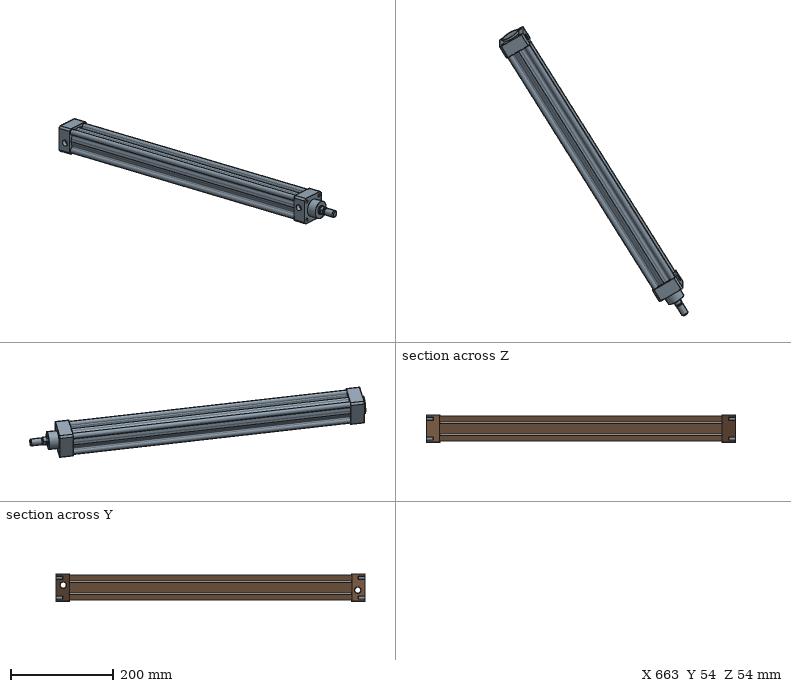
import cadquery as cq
import math


overall_length = 663.0
rear_spigot_length = 4.5
cap_length = 26.5
barrel_length = 551.0
front_spigot_length = 19.0
seal_lip_length = 2.5

cap_width = 54.0
cap_corner_chamfer = 4.0
spigot_diameter = 35.0
seal_lip_diameter = 18.0
tie_bolt_offset = 19.0
bolt_hole_diameter = 5.65
bolt_hole_depth = 13.0
port_diameter = 12.0
port_depth = 10.0
port_height = 5.0
port_end_distance = 12.0

body_radius = 22.0
lobe_radius = 5.65
lobe_root_fillet = 2.0
ridge_width = 10.0
ridge_height = 0.5

rod_diameter = 16.0
across_flats = 14.0
flats_length = 5.0
neck_diameter = 10.5
neck_length = 2.5
thread_diameter = 14.0
thread_length = 22.5
thread_chamfer = 2.0

rear_cap_start = rear_spigot_length
barrel_start = rear_cap_start + cap_length
front_cap_start = barrel_start + barrel_length
front_cap_end = front_cap_start + cap_length
front_spigot_end = front_cap_end + front_spigot_length
thread_start = overall_length - thread_length
neck_start = thread_start - neck_length
flats_start = neck_start - flats_length

tolerance = 0.005

corners = [(y * tie_bolt_offset, z * tie_bolt_offset) for y in (-1, 1) for z in (-1, 1)]


def section_at(x):
    """Workplane across the axis at X = x, with its local axes along Y and Z."""
    return cq.Workplane("YZ", origin=(x, 0, 0))


def round_bar(start, end, diameter):
    return section_at(start).circle(diameter / 2).extrude(end - start)


def cap_block(start):
    """Square cap block with chamfered long edges."""
    block = section_at(start).rect(cap_width, cap_width).extrude(cap_length)
    return block.edges("|X").chamfer(cap_corner_chamfer)


def bolt_holes(start):
    return section_at(start).pushPoints(corners).circle(bolt_hole_diameter / 2).extrude(bolt_hole_depth)


def port(x, z):
    """Blind air port entering from the -Y face."""
    face = cq.Workplane("XZ", origin=(x, -cap_width / 2, z))
    return face.circle(port_diameter / 2).extrude(-port_depth)


def make_rear_cap():
    """Cap block with a short spigot, blind bolt holes on its outer face and an air port."""
    cap = cap_block(rear_cap_start).union(round_bar(0, rear_cap_start, spigot_diameter))
    cap = cap.cut(bolt_holes(rear_cap_start))
    return cap.cut(port(barrel_start - port_end_distance, -port_height))


def make_front_cap():
    """Cap block with a long spigot and a seal lip, bored right through for the rod."""
    cap = cap_block(front_cap_start)
    cap = cap.union(round_bar(front_cap_end, front_spigot_end, spigot_diameter))
    lip_end = front_spigot_end + seal_lip_length
    cap = cap.union(round_bar(front_spigot_end, lip_end, seal_lip_diameter))
    cap = cap.cut(bolt_holes(front_cap_end - bolt_hole_depth))
    cap = cap.cut(port(front_cap_start + port_end_distance, port_height))
    return cap.cut(round_bar(front_cap_start, lip_end, rod_diameter))


def is_lobe_root(edge):
    """True for the lengthwise edges where a lobe meets the round body."""
    center = edge.Center()
    on_body = abs(math.hypot(center.y, center.z) - body_radius) < tolerance
    off_axes = min(abs(center.y), abs(center.z)) > tolerance
    return on_body and off_axes


def make_lobed_body():
    """Round body with a lobe around each tie bolt, blended in by concave fillets."""
    body = round_bar(barrel_start, front_cap_start, 2 * body_radius)
    lobes = section_at(barrel_start).pushPoints(corners).circle(lobe_radius).extrude(barrel_length)
    return body.union(lobes).edges("|X").filter(is_lobe_root).fillet(lobe_root_fillet)


def make_ridge():
    """Wedge from the axis to a shallow V-shaped crest just above the +Z side of the body."""
    foot_height = math.sqrt(body_radius**2 - (ridge_width / 2) ** 2)
    outline = [
        (0, 0),
        (ridge_width / 2, foot_height),
        (0, body_radius + ridge_height),
        (-ridge_width / 2, foot_height),
    ]
    return section_at(barrel_start).polyline(outline).close().extrude(barrel_length)


def make_barrel():
    barrel = make_lobed_body()
    ridge = make_ridge()
    for quarter in range(4):
        barrel = barrel.union(ridge.rotate((0, 0, 0), (1, 0, 0), 90 * quarter))
    return barrel


def make_rod():
    """Rod running from the barrel through the front cap, with wrench flats, a neck and a thread."""
    rod = round_bar(front_cap_start, neck_start, rod_diameter)
    between_flats = section_at(flats_start).rect(across_flats, rod_diameter).extrude(flats_length)
    rod = rod.cut(round_bar(flats_start, neck_start, rod_diameter).cut(between_flats))
    rod = rod.union(round_bar(neck_start, thread_start, neck_diameter))
    thread = round_bar(thread_start, overall_length, thread_diameter)
    thread = thread.faces(">X").chamfer(thread_chamfer)
    return rod.union(thread)


rear_cap = make_rear_cap()
barrel = make_barrel()
front_cap = make_front_cap()
rod = make_rod()

result = cq.Compound.makeCompound([rear_cap.val(), barrel.val(), front_cap.val(), rod.val()])